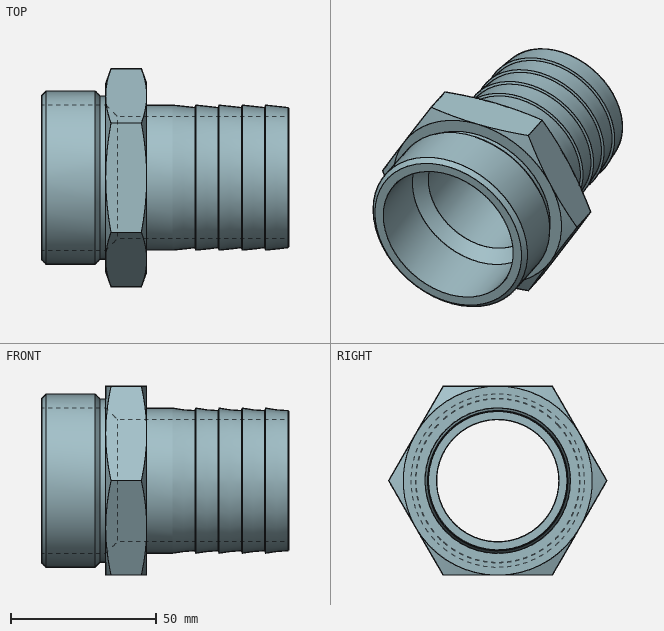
import cadquery as cq
import math

total_length = 85.0

thread_radius = 29.8
thread_end_chamfer = 1.5
groove_radius = 28.1
groove_end_x = 22.0
groove_flat_width = 1.95

hex_sides = 6
hex_across_flats = 65.0
hex_width = 14.1
hex_chamfer_angle = 20.0

barb_count = 5
barb_pitch = 8.0
barb_crest_radius = 25.0
barb_root_radius = 24.1
barb_step_width = 0.3
tail_end_chamfer = 0.3

wide_bore_radius = 25.1
tail_bore_radius = 21.0
wide_bore_depth = groove_end_x

hex_start_x = groove_end_x
hex_end_x = hex_start_x + hex_width
hex_inscribed_radius = hex_across_flats / 2
half_flat_angle = 180 / hex_sides
hex_corner_radius = hex_inscribed_radius / math.cos(math.radians(half_flat_angle))


def revolve_profile(points):
    """Revolve a closed outline of (x, radius) points about the X axis."""
    return cq.Workplane("XY").polyline(points).close().revolve(360, (0, 0, 0), (1, 0, 0))


def make_threaded_end():
    """Chamfered thread blank with a relief groove against the hexagon."""
    groove_start_x = groove_end_x - groove_flat_width
    crest_end_x = groove_start_x - (thread_radius - groove_radius)
    return revolve_profile([
        (0, 0),
        (0, thread_radius - thread_end_chamfer),
        (thread_end_chamfer, thread_radius),
        (crest_end_x, thread_radius),
        (groove_start_x, groove_radius),
        (hex_start_x, groove_radius),
        (hex_start_x, 0),
    ])


def make_hexagon():
    """Hexagon with flats facing up and down, its corners coned off on both faces."""
    prism = (
        cq.Workplane("YZ", origin=(hex_start_x, 0, 0))
        .polygon(hex_sides, 2 * hex_corner_radius)
        .extrude(hex_width)
    )
    chamfer_depth = (hex_corner_radius - hex_inscribed_radius) * math.tan(math.radians(hex_chamfer_angle))
    envelope = revolve_profile([
        (hex_start_x, 0),
        (hex_start_x, hex_inscribed_radius),
        (hex_start_x + chamfer_depth, hex_corner_radius),
        (hex_end_x - chamfer_depth, hex_corner_radius),
        (hex_end_x, hex_inscribed_radius),
        (hex_end_x, 0),
    ])
    return prism.intersect(envelope)


def make_barbed_tail():
    """Plain neck followed by barbs that each taper toward the tail end."""
    first_barb_x = total_length - barb_count * barb_pitch
    points = [(hex_end_x, 0), (hex_end_x, barb_crest_radius)]
    for barb in range(barb_count):
        crest_x = first_barb_x + barb * barb_pitch
        points.append((crest_x, barb_crest_radius))
        if barb < barb_count - 1:
            points.append((crest_x + barb_pitch - barb_step_width, barb_root_radius))
    points += [
        (total_length - tail_end_chamfer, barb_root_radius),
        (total_length, barb_root_radius - tail_end_chamfer),
        (total_length, 0),
    ]
    return revolve_profile(points)


def make_bore():
    """Through bore that steps down from the wide bore to the tail bore."""
    cone_end_x = wide_bore_depth + (wide_bore_radius - tail_bore_radius)
    return revolve_profile([
        (0, 0),
        (0, wide_bore_radius),
        (wide_bore_depth, wide_bore_radius),
        (cone_end_x, tail_bore_radius),
        (total_length, tail_bore_radius),
        (total_length, 0),
    ])


body = make_threaded_end().union(make_hexagon()).union(make_barbed_tail())
result = body.cut(make_bore())